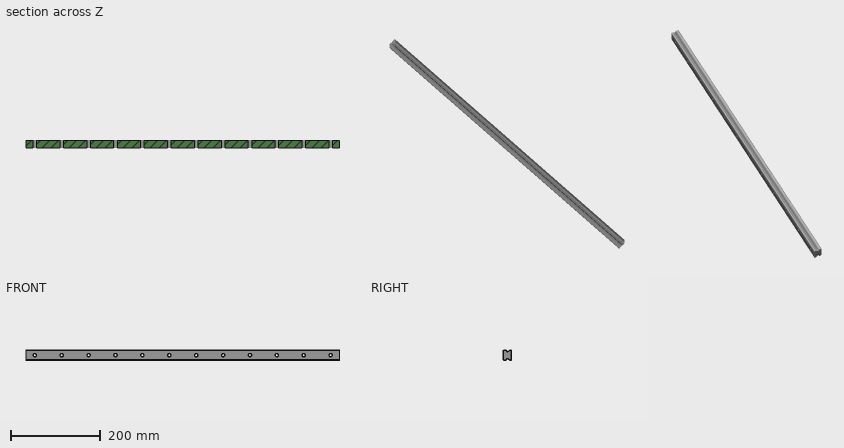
import cadquery as cq
import math

length = 700.0
height = 18.0
width = 23.0

base_chamfer = 1.5
base_shoulder = -2.85
groove_bottom = -0.45
base_flank_angle = 60.0
head_flank_angle = 30.0
race_start = 4.7
race_end = 6.25
race_depth = 0.09
head_chamfer = 0.6

hole_diameter = 7.0
hole_pitch = 60.0
hole_end_distance = 20.0


def rise(run, angle):
    return run * math.tan(math.radians(angle))


def half_rail():
    """The half of the rail above the XY plane, centred along X."""
    half_height = height / 2
    half_width = width / 2
    groove_z = half_width - rise(groove_bottom - base_shoulder, base_flank_angle)
    race_z = groove_z + rise(race_start - groove_bottom, head_flank_angle)
    profile = (
        cq.Workplane("YZ")
        .moveTo(-half_height, 0)
        .lineTo(-half_height, half_width - base_chamfer)
        .lineTo(-half_height + base_chamfer, half_width)
        .lineTo(base_shoulder, half_width)
        .lineTo(groove_bottom, groove_z)
        .lineTo(race_start, race_z)
        .sagittaArc((race_end, half_width), -race_depth)
        .lineTo(half_height - head_chamfer, half_width)
        .lineTo(half_height, half_width - head_chamfer)
        .lineTo(half_height, 0)
        .close()
    )
    return profile.extrude(length / 2, both=True)


def rail_body():
    upper_half = half_rail()
    return upper_half.union(upper_half.mirror("XY")).clean()


def mounting_holes():
    hole_count = round((length - 2 * hole_end_distance) / hole_pitch) + 1
    return (
        cq.Workplane("XZ", origin=(0, height / 2, 0))
        .rarray(hole_pitch, 1, hole_count, 1)
        .circle(hole_diameter / 2)
        .extrude(height)
    )


result = rail_body().cut(mounting_holes())